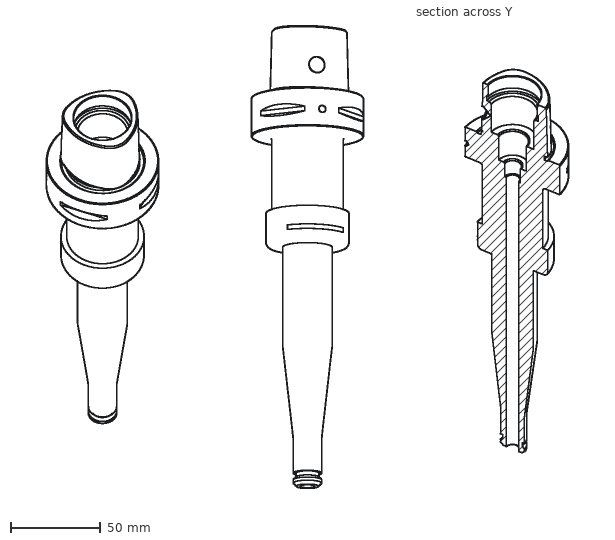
import cadquery as cq
import math

LENGTH = 259.0
FLANGE_D = 63.0
FLANGE_TOP = 221.5
FLANGE_BOTTOM = 199.5
FLANGE_CHAMFER = 0.5
SHANK_D = 40.1
SHANK_FILLET = 1.8
COLLAR_D = 46.5
COLLAR_TOP = 155.7
COLLAR_BOTTOM = 136.2
COLLAR_FILLET = 3.0
ARM_D = 28.0
TAPER_TOP = 80.3
TAPER_BOTTOM = 27.2
TIP_D = 16.0

KNOB_GROOVE_D = 13.0
KNOB_GROOVE_TOP = 7.5
KNOB_GROOVE_BOTTOM = 5.2
KNOB_RIM_TOP = 3.5
KNOB_RIM_BOTTOM = 1.8
KNOB_END_D = 12.5

COUPLING_WIDTH = 44.0
LOBE_OFFSET = 10.4
COUPLING_BOTTOM = 223.0
COUPLING_SLOPE = 1 / 40
COUPLING_CHAMFER = 0.8
NECK_D = 42.0
RECESS_TOP_D = 47.7
RECESS_BOTTOM_D = 46.0
RECESS_DEPTH = 0.8

MOUTH_D = 33.0
BORE_D = 32.0
BORE_GROOVE_D = 34.0
BORE_GROOVE_TOP_DEPTH = 8.8
BORE_GROOVE_BOTTOM_DEPTH = 12.0
THROAT_MOUTH_D = 30.5
THROAT_D = 28.0
THROAT_FLOOR_DEPTH = 33.7
PILOT_MOUTH_D = 19.5
PILOT_D = 18.0
PILOT_FLOOR_DEPTH = 51.8
SEAT_MOUTH_D = 11.7
SEAT_D = 10.0
SEAT_FLOOR_DEPTH = 62.2
THROUGH_D = 8.0

NOTCH_COUNT = 4
NOTCH_Z = 209.3
NOTCH_DEPTH = 3.4
NOTCH_FLOOR_HEIGHT = 2.5
NOTCH_FLANK_ANGLE = 30.0
FLANGE_DIMPLE_D = 4.0
FLANGE_DIMPLE_DEPTH = 0.5
COUPLING_DIMPLE_D = 9.0
COUPLING_DIMPLE_DEPTH = 1.0
DRILL_POINT_ANGLE = 90.0
COUPLING_DIMPLE_Z = 236.7

PANEL_WIDTH = 32.5
PANEL_BOTTOM = 142.5
PANEL_TOP = 145.0
PANEL_DEPTH = 0.13


def revolve_profile(points):
    """Turn (diameter, z) points into a solid of revolution, closed along the axis."""
    outline = [(0, points[0][1])]
    outline += [(diameter / 2, z) for diameter, z in points]
    outline.append((0, points[-1][1]))
    return cq.Workplane("XZ").polyline(outline).close().revolve(360, (0, 0), (0, 1))


def label_panel():
    outer_radius = COLLAR_D / 2
    height = PANEL_TOP - PANEL_BOTTOM
    ring = cq.Workplane("XY", origin=(0, 0, PANEL_BOTTOM))
    ring = ring.circle(outer_radius + PANEL_DEPTH).circle(outer_radius - PANEL_DEPTH).extrude(height)
    window = cq.Workplane("XY", origin=(-outer_radius, 0, PANEL_BOTTOM))
    window = window.rect(COLLAR_D, PANEL_WIDTH).extrude(height, both=True)
    return ring.intersect(window)


def turned_body():
    body = revolve_profile([
        (KNOB_END_D, 0),
        (TIP_D, KNOB_RIM_BOTTOM),
        (TIP_D, KNOB_RIM_TOP),
        (KNOB_GROOVE_D, KNOB_GROOVE_BOTTOM),
        (KNOB_GROOVE_D, KNOB_GROOVE_TOP),
        (TIP_D, KNOB_GROOVE_TOP),
        (TIP_D, TAPER_BOTTOM),
        (ARM_D, TAPER_TOP),
        (ARM_D, COLLAR_TOP),
    ])
    collar = cq.Workplane("XY", origin=(0, 0, COLLAR_BOTTOM)).circle(COLLAR_D / 2)
    collar = collar.extrude(COLLAR_TOP - COLLAR_BOTTOM).faces("<Z").edges().fillet(COLLAR_FILLET)
    collar = collar.cut(label_panel())

    flange_height = FLANGE_TOP - FLANGE_BOTTOM
    flange = cq.Workplane("XY", origin=(0, 0, FLANGE_BOTTOM)).circle(FLANGE_D / 2).extrude(flange_height)
    flange = flange.edges().chamfer(FLANGE_CHAMFER)
    shank_height = FLANGE_BOTTOM - COLLAR_TOP
    shank = cq.Workplane("XY", origin=(0, 0, COLLAR_TOP)).circle(SHANK_D / 2).extrude(shank_height)
    corner = cq.selectors.BoxSelector(
        (-SHANK_D, -SHANK_D, FLANGE_BOTTOM - SHANK_FILLET / 2),
        (SHANK_D, SHANK_D, FLANGE_BOTTOM + FLANGE_CHAMFER / 2),
    )
    head = flange.union(shank).edges(corner).edges(cq.selectors.RadiusNthSelector(0)).fillet(SHANK_FILLET)
    return body.union(collar).union(head)


def lobed_outline(width, z):
    """Constant-width outline: three lobe arcs joined tangentially by three broad arcs."""
    arc_difference = LOBE_OFFSET * math.sqrt(3)
    lobe_radius = (width - arc_difference) / 2
    broad_radius = (width + arc_difference) / 2

    def point(centre_angle, radius, direction):
        centre, heading = math.radians(centre_angle), math.radians(direction)
        return (
            LOBE_OFFSET * math.cos(centre) + radius * math.cos(heading),
            LOBE_OFFSET * math.sin(centre) + radius * math.sin(heading),
        )

    outline = cq.Workplane("XY", origin=(0, 0, z)).moveTo(*point(0, lobe_radius, -30))
    for lobe in (0, 120, 240):
        outline = outline.threePointArc(
            point(lobe, lobe_radius, lobe), point(lobe, lobe_radius, lobe + 30)
        )
        opposite = lobe + 240
        outline = outline.threePointArc(
            point(opposite, broad_radius, lobe + 60), point(opposite, broad_radius, lobe + 90)
        )
    return outline.close()


def coupling():
    height = LENGTH - COUPLING_BOTTOM
    slope_angle = math.degrees(math.atan(COUPLING_SLOPE))
    cone = lobed_outline(COUPLING_WIDTH, COUPLING_BOTTOM).extrude(height, taper=slope_angle)
    cone = cone.faces("<Z or >Z").edges().chamfer(COUPLING_CHAMFER)
    neck_bottom = FLANGE_TOP - RECESS_DEPTH
    neck = cq.Workplane("XY", origin=(0, 0, neck_bottom)).circle(NECK_D / 2)
    return cone.union(neck.extrude(COUPLING_BOTTOM - neck_bottom))


def flange_recess():
    return revolve_profile([(RECESS_BOTTOM_D, FLANGE_TOP - RECESS_DEPTH), (RECESS_TOP_D, FLANGE_TOP)])


def bore():
    mouth_chamfer = (MOUTH_D - BORE_D) / 2
    throat_chamfer = (THROAT_MOUTH_D - THROAT_D) / 2
    pilot_chamfer = (PILOT_MOUTH_D - PILOT_D) / 2
    seat_chamfer = (SEAT_MOUTH_D - SEAT_D) / 2
    steps = [
        (MOUTH_D, 0),
        (BORE_D, mouth_chamfer),
        (BORE_D, BORE_GROOVE_TOP_DEPTH),
        (BORE_GROOVE_D, BORE_GROOVE_TOP_DEPTH),
        (BORE_GROOVE_D, BORE_GROOVE_BOTTOM_DEPTH),
        (THROAT_MOUTH_D, BORE_GROOVE_BOTTOM_DEPTH),
        (THROAT_D, BORE_GROOVE_BOTTOM_DEPTH + throat_chamfer),
        (THROAT_D, THROAT_FLOOR_DEPTH),
        (PILOT_MOUTH_D, THROAT_FLOOR_DEPTH),
        (PILOT_D, THROAT_FLOOR_DEPTH + pilot_chamfer),
        (PILOT_D, PILOT_FLOOR_DEPTH),
        (SEAT_MOUTH_D, PILOT_FLOOR_DEPTH),
        (SEAT_D, PILOT_FLOOR_DEPTH + seat_chamfer),
        (SEAT_D, SEAT_FLOOR_DEPTH),
        (THROUGH_D, SEAT_FLOOR_DEPTH),
        (THROUGH_D, LENGTH),
    ]
    return revolve_profile([(diameter, LENGTH - depth) for diameter, depth in steps])


def gripper_notch(angle):
    """Straight trapezoidal groove across the flange rim, facing the given angle."""
    rim = FLANGE_D / 2
    floor = rim - NOTCH_DEPTH
    floor_half = NOTCH_FLOOR_HEIGHT / 2
    rim_half = floor_half + NOTCH_DEPTH * math.tan(math.radians(NOTCH_FLANK_ANGLE))
    section = [
        (floor, NOTCH_Z - floor_half),
        (rim, NOTCH_Z - rim_half),
        (rim, NOTCH_Z + rim_half),
        (floor, NOTCH_Z + floor_half),
    ]
    notch = cq.Workplane("XZ").polyline(section).close().extrude(rim, both=True)
    return notch.rotate((0, 0, 0), (0, 0, 1), angle)


def drilled_dimple(diameter, depth, surface_x, z):
    """Blind hole with a drill-point end, sunk along +X to the given depth of its straight wall."""
    radius = diameter / 2
    point_height = radius / math.tan(math.radians(DRILL_POINT_ANGLE / 2))
    outside_x = surface_x - radius
    wall_end_x = surface_x + depth
    section = [
        (outside_x, z),
        (outside_x, z + radius),
        (wall_end_x, z + radius),
        (wall_end_x + point_height, z),
    ]
    return cq.Workplane("XZ").polyline(section).close().revolve(360, (0, z), (1, z))


coupling_flat_x = LOBE_OFFSET - (COUPLING_WIDTH + LOBE_OFFSET * math.sqrt(3)) / 2
dimple_flat_x = coupling_flat_x + COUPLING_SLOPE * (COUPLING_DIMPLE_Z - COUPLING_BOTTOM)

result = turned_body().cut(flange_recess()).union(coupling()).cut(bore())
for index in range(NOTCH_COUNT):
    result = result.cut(gripper_notch((index + 0.5) * 360 / NOTCH_COUNT))
result = result.cut(
    drilled_dimple(COUPLING_DIMPLE_D, COUPLING_DIMPLE_DEPTH, dimple_flat_x, COUPLING_DIMPLE_Z)
)
result = result.cut(drilled_dimple(FLANGE_DIMPLE_D, FLANGE_DIMPLE_DEPTH, -FLANGE_D / 2, NOTCH_Z))